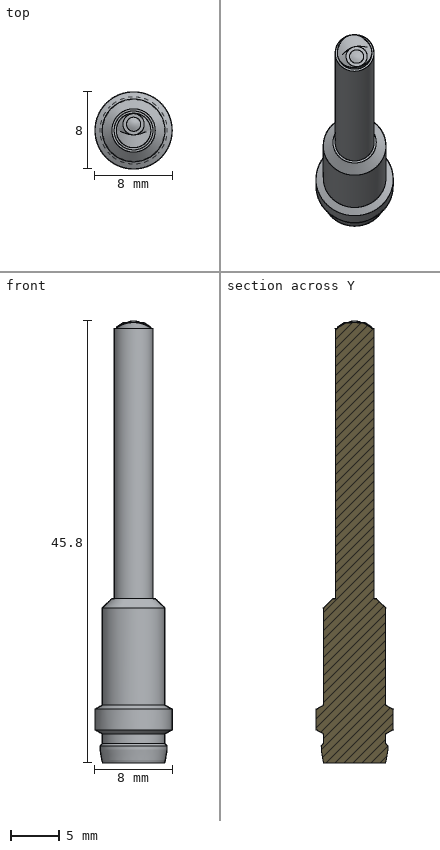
import cadquery as cq
import math

total_height = 45.75
flange_diameter = 8.0

rim_radius = 3.2
taper_foot_radius = 3.3
bead_radius = 3.5
body_radius = 3.25
flange_radius = flange_diameter / 2
shoulder_radius = 2.25
rod_radius = 2.0

taper_foot_height = 0.27
bead_bottom = 1.35
bead_top = 1.8
neck_bottom = 2.0
neck_top = 3.0
flange_bottom = 3.45
flange_top = 5.6
body_bottom = 6.0
body_top = 16.05
shoulder_height = 17.0
rod_top = 45.0

tip_radius = 1.8
tip_crown_height = 45.58
crown_curve_radius = 3.15
cone_offset = 0.65
cone_top_radius = 1.1
cone_base_radius = 1.95
button_base_radius = 0.75
button_dome_radius = 0.6
button_dome_bottom = 45.6


def revolve_about_z(half_outline):
    """Close an XZ half outline along the Z axis and turn it into a full solid."""
    return half_outline.close().revolve(360, (0, 0, 0), (0, 1, 0))


def make_turned_body():
    """Revolve the stepped half outline from the bottom rim to the top of the rod."""
    outline = [
        (0, 0),
        (rim_radius, 0),
        (taper_foot_radius, taper_foot_height),
        (bead_radius, bead_bottom),
        (bead_radius, bead_top),
        (body_radius, neck_bottom),
        (body_radius, neck_top),
        (flange_radius, flange_bottom),
        (flange_radius, flange_top),
        (body_radius, body_bottom),
        (body_radius, body_top),
        (shoulder_radius, shoulder_height),
        (rod_radius, shoulder_height),
        (rod_radius, rod_top),
        (0, rod_top),
    ]
    return revolve_about_z(cq.Workplane("XZ").polyline(outline))


def make_crown():
    """Cylinder lying along Y whose upper side forms the arched top of the tip."""
    return (
        cq.Workplane("XZ")
        .center(0, tip_crown_height - crown_curve_radius)
        .circle(crown_curve_radius)
        .extrude(tip_radius, both=True)
    )


def make_offset_cone():
    """Cone with a small domed button on top, offset toward +Y."""
    outline = [
        (0, rod_top),
        (cone_base_radius, rod_top),
        (cone_top_radius, tip_crown_height),
        (button_base_radius, tip_crown_height),
        (button_dome_radius, button_dome_bottom),
    ]
    dome_rise = total_height - button_dome_bottom
    sphere_radius = (button_dome_radius**2 + dome_rise**2) / (2 * dome_rise)
    half_angle = math.asin(button_dome_radius / sphere_radius) / 2
    dome_middle = (
        sphere_radius * math.sin(half_angle),
        total_height - sphere_radius * (1 - math.cos(half_angle)),
    )
    apex = (0, total_height)
    half_outline = cq.Workplane("XZ").polyline(outline).threePointArc(dome_middle, apex)
    return revolve_about_z(half_outline).translate((0, cone_offset, 0))


def make_tip():
    """Arched crown and offset cone, both trimmed to the round tip."""
    envelope = (
        cq.Workplane("XY")
        .workplane(offset=rod_top)
        .circle(tip_radius)
        .extrude(total_height - rod_top)
    )
    return make_crown().union(make_offset_cone()).intersect(envelope)


result = make_turned_body().union(make_tip())